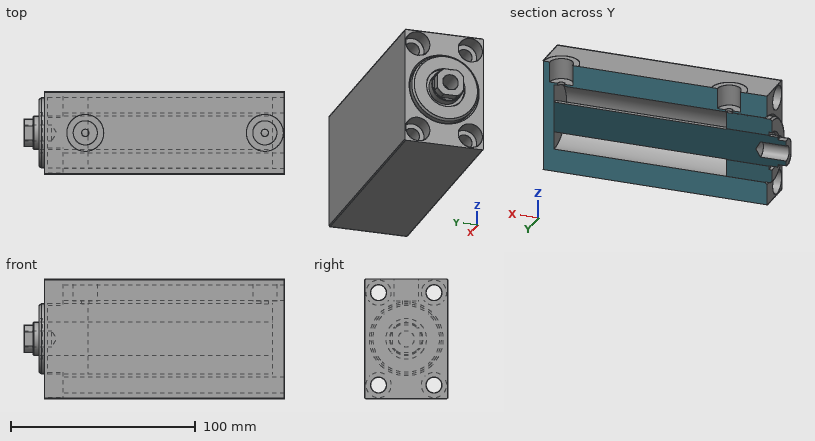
import cadquery as cq
import math


overall_length = 141.0

block_length = 130.0
block_width = 45.0
block_height = 65.0
edge_chamfer = 0.5

bore_diameter = 38.0
bore_depth = 123.5
mouth_diameter = 40.0
mouth_depth = 1.7

mount_spacing_y = 30.0
mount_spacing_z = 50.0
mount_hole_diameter = 8.5
mount_counterbore_diameter = 13.7
mount_counterbore_depth = 10.0

port_positions = (22.1, 119.4)
port_spotface_diameter = 20.0
port_spotface_depth = 0.07
port_diameter = 13.1
port_depth = 12.0
port_passage_diameter = 4.0

gland_projection = 3.0
gland_insertion = 23.7
gland_chamfer_length = 1.3
gland_chamfer_height = 1.0
gland_recess_diameter = 22.0
gland_recess_depth = 2.0

rod_diameter = 18.0
rod_projection = overall_length - block_length
rod_shoulder_chamfer = 0.4
neck_length = 4.8
neck_diameter = 16.8
neck_across_flats = 15.0
thread_hole_diameter = 8.7
thread_hole_depth = 15.0
drill_tip_angle = 118


def x_cylinder(diameter, start, length):
    """A cylinder along X that starts at X = start."""
    return cq.Workplane("YZ", origin=(start, 0, 0)).circle(diameter / 2).extrude(length)


def x_cone(start_diameter, end_diameter, start, length):
    """A straight taper along X between two diameters."""
    return cq.Workplane("XY").add(
        cq.Solid.makeCone(
            start_diameter / 2, end_diameter / 2, length, cq.Vector(start, 0, 0), cq.Vector(1, 0, 0)
        )
    )


def make_port(x):
    """The space of one oil port: spotface, threaded bore and passage into the cylinder bore."""
    top = cq.Workplane("XY", origin=(x, 0, block_height / 2))
    spotface = top.circle(port_spotface_diameter / 2).extrude(-port_spotface_depth)
    threaded_bore = top.circle(port_diameter / 2).extrude(-port_depth)
    passage = top.circle(port_passage_diameter / 2).extrude(-block_height / 2)
    return spotface.union(threaded_bore).union(passage)


def make_housing():
    """The block with its mounting holes, blind bore, tapered mouth and oil ports."""
    block = (
        cq.Workplane("XY")
        .box(block_length, block_width, block_height, centered=(False, True, True))
        .edges("|X")
        .chamfer(edge_chamfer)
    )
    drilled = (
        block.faces("<X")
        .workplane(centerOption="CenterOfBoundBox")
        .rect(mount_spacing_y, mount_spacing_z, forConstruction=True)
        .vertices()
        .cboreHole(mount_hole_diameter, mount_counterbore_diameter, mount_counterbore_depth)
    )
    bored = drilled.cut(x_cylinder(bore_diameter, 0, bore_depth))
    housing = bored.cut(x_cone(mouth_diameter, bore_diameter, 0, mouth_depth))
    for x in port_positions:
        housing = housing.cut(make_port(x))
    return housing


def make_gland():
    """The sleeve that guides the rod, with a chamfered nose and a recess around the rod."""
    face = -gland_projection
    nose_diameter = bore_diameter - 2 * gland_chamfer_height
    chamfer_end = face + gland_chamfer_length
    nose = x_cone(nose_diameter, bore_diameter, face, gland_chamfer_length)
    barrel = x_cylinder(bore_diameter, chamfer_end, gland_insertion - chamfer_end)
    recess = x_cylinder(gland_recess_diameter, face, gland_recess_depth)
    rod_passage = x_cylinder(rod_diameter, face, gland_projection + gland_insertion)
    return nose.union(barrel).cut(recess).cut(rod_passage)


def make_rod():
    """The rod down to the bore floor, with a flatted neck and a drilled hole in its tip."""
    tip = -rod_projection
    shoulder = tip + neck_length
    shank = x_cylinder(rod_diameter, shoulder, bore_depth - shoulder)
    shank = shank.faces("<X").chamfer(rod_shoulder_chamfer)
    square = cq.Workplane("YZ", origin=(tip, 0, 0)).rect(neck_across_flats, neck_across_flats)
    flats = square.extrude(neck_length)
    neck = x_cylinder(neck_diameter, tip, neck_length).intersect(flats)
    drill_tip_length = thread_hole_diameter / 2 / math.tan(math.radians(drill_tip_angle / 2))
    thread_hole = x_cylinder(thread_hole_diameter, tip, thread_hole_depth)
    drill_tip = x_cone(thread_hole_diameter, 0, tip + thread_hole_depth, drill_tip_length)
    return shank.union(neck).cut(thread_hole).cut(drill_tip)


housing = make_housing()
gland = make_gland()
rod = make_rod()

result = cq.Compound.makeCompound([housing.val(), gland.val(), rod.val()])